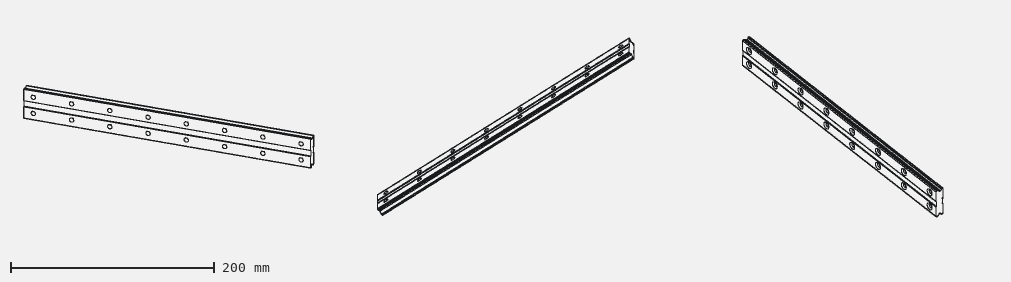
import cadquery as cq

length = 300
thickness = 9
height = 33

front_lip_width = 1.95
front_lip_chamfer = 0.45

groove_depth = 2.25
groove_floor_width = 1.2
groove_front_rise = 1.2

ridge_height = 0.75
ridge_bevel_width = 1.05
groove_back_rise = groove_depth - ridge_height

channel_floor_height = 6
channel_mouth_height = 7.0
channel_depth = 0.5

hole_count = 8
hole_pitch = length / (hole_count - 0.5)
hole_row_offset = 9
hole_diameter = 4.5
head_diameter = 7.5
head_angle = 90

front_y = -thickness / 2
back_y = thickness / 2
half_height = height / 2


def upper_half_outline():
    """(Y, Z) corners of the upper half, from the front channel over the top to the back channel."""
    channel_floor_z = channel_floor_height / 2
    channel_mouth_z = channel_mouth_height / 2
    groove_floor_z = half_height - groove_depth
    ridge_base_z = half_height - ridge_height
    lip_back_y = front_y + front_lip_width
    groove_floor_front_y = lip_back_y + groove_front_rise
    groove_floor_back_y = groove_floor_front_y + groove_floor_width
    ridge_front_y = groove_floor_back_y + groove_back_rise
    return [
        (front_y + channel_depth, channel_floor_z),
        (front_y, channel_mouth_z),
        (front_y, half_height - front_lip_chamfer),
        (front_y + front_lip_chamfer, half_height),
        (lip_back_y, half_height),
        (lip_back_y, groove_floor_z + groove_front_rise),
        (groove_floor_front_y, groove_floor_z),
        (groove_floor_back_y, groove_floor_z),
        (ridge_front_y, ridge_base_z),
        (ridge_front_y + ridge_bevel_width, half_height),
        (back_y - ridge_bevel_width, half_height),
        (back_y, ridge_base_z),
        (back_y, channel_mouth_z),
        (back_y - channel_depth, channel_floor_z),
    ]


def make_strip():
    """Constant section along X, the same above and below the middle."""
    upper = upper_half_outline()
    lower = [(y, -z) for y, z in reversed(upper)]
    return cq.Workplane("YZ").polyline(upper + lower).close().extrude(length / 2, both=True)


def drill_holes(strip):
    """Through holes with their screw heads sunk into the back face."""
    return (
        strip.faces(">Y")
        .workplane(origin=(0, back_y, 0))
        .rarray(hole_pitch, 2 * hole_row_offset, hole_count, 2)
        .cskHole(hole_diameter, head_diameter, head_angle)
    )


result = drill_holes(make_strip())